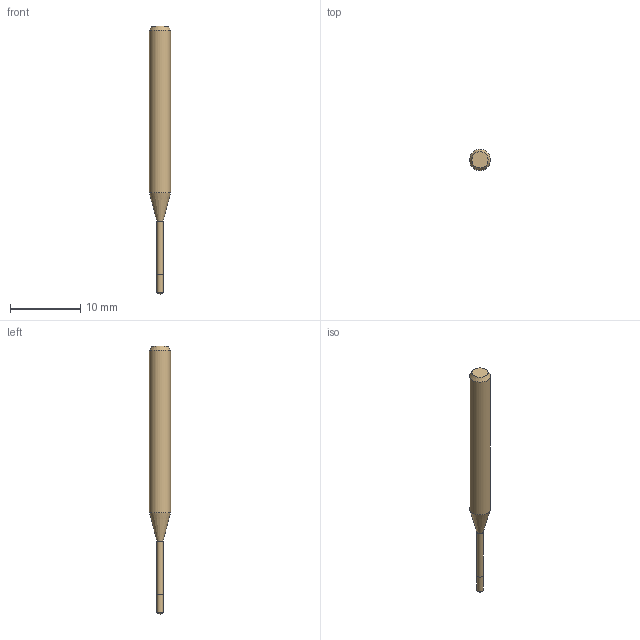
import cadquery as cq
import math

shank_radius = 1.5
neck_radius = 0.435
body_length = 38.0
point_height = 0.2
cutter_length = 2.6
neck_top = 10.2
taper_length = 4.0
chamfer_height = 0.6
chamfer_angle = 30.0

taper_top = neck_top + taper_length
chamfer_bottom = body_length - chamfer_height
end_face_radius = shank_radius - chamfer_height * math.tan(math.radians(chamfer_angle))


def revolve_profile(profile):
    """Turn a closed (radius, height) outline a full revolution about the Z axis."""
    axis_start = (0, 0, 0)
    axis_end = (0, 1, 0)
    return cq.Workplane("XZ").polyline(profile).close().revolve(360, axis_start, axis_end)


def make_holder():
    """Chamfered shank tapering down to the slender neck."""
    return revolve_profile([
        (0, cutter_length),
        (neck_radius, cutter_length),
        (neck_radius, neck_top),
        (shank_radius, taper_top),
        (shank_radius, chamfer_bottom),
        (end_face_radius, body_length),
        (0, body_length),
    ])


def make_cutter():
    """Cutting tip: a short cylinder that ends in a shallow conical point."""
    return revolve_profile([
        (0, -point_height),
        (neck_radius, 0),
        (neck_radius, cutter_length),
        (0, cutter_length),
    ])


holder = make_holder()
cutter = make_cutter()
result = cq.Compound.makeCompound([holder.val(), cutter.val()])